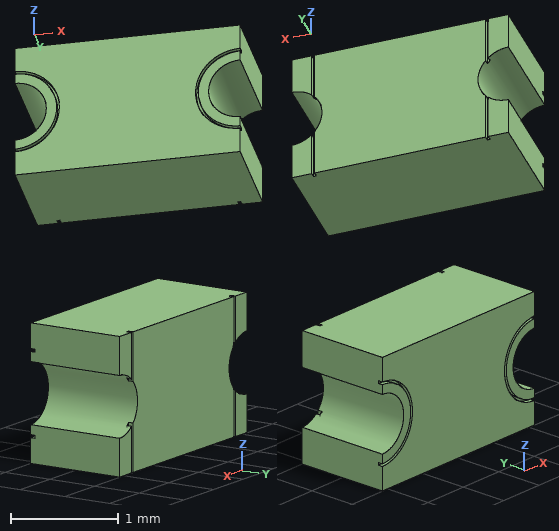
import cadquery as cq

length = 2.15
depth = 1.0
height = 1.35

notch_radius = 0.3

groove_width = 0.025
groove_depth = 0.05
ring_inner_radius = 0.4
straight_groove_inset = 0.2

front_y = -depth / 2
back_y = depth / 2


def end_notch(end_x):
    """Cylinder on an end face, running through the full depth."""
    return (
        cq.Workplane("XZ", origin=(end_x, back_y, 0))
        .circle(notch_radius)
        .extrude(depth)
    )


def front_ring_groove(end_x):
    """Ring concentric with the notch, sunk into the front face."""
    return (
        cq.Workplane("XZ", origin=(end_x, front_y + groove_depth, 0))
        .circle(ring_inner_radius + groove_width)
        .circle(ring_inner_radius)
        .extrude(groove_depth)
    )


def back_straight_groove(side):
    """Vertical groove over the full height of the back face."""
    center_x = side * (length / 2 - straight_groove_inset - groove_width / 2)
    return cq.Workplane("XY").box(groove_width, groove_depth, height).translate(
        (center_x, back_y - groove_depth / 2, 0)
    )


result = cq.Workplane("XY").box(length, depth, height)
for side in (-1, 1):
    end_x = side * length / 2
    result = result.cut(end_notch(end_x))
    result = result.cut(front_ring_groove(end_x))
    result = result.cut(back_straight_groove(side))